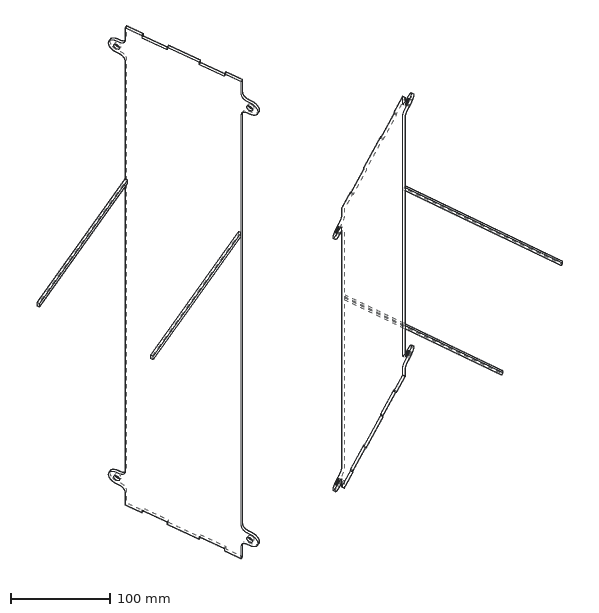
import cadquery as cq

panel_height = 813.0
panel_width = 135.0
panel_thickness = 3.0
overall_width = 174.0

ear_radius = 10.0
ear_hole_diameter = 7.0
ear_end_distance = 39.0
ear_fillet = 7.0
ear_x = overall_width / 2 - ear_radius
ear_z = panel_height / 2 - ear_end_distance

notch_depth = 4.0
notch_inner_x = 19.0
notch_outer_x = 48.0
notch_width = notch_outer_x - notch_inner_x
notch_x = (notch_inner_x + notch_outer_x) / 2

rod_width = 3.0
rod_height = 6.0
rod_top_distance = 260.0
rod_length = 178.0
rod_x = (panel_width - rod_width) / 2
rod_z = panel_height / 2 - rod_top_distance


def upright_box(width, depth, height):
    """Box centred in X and Z that runs from Y = 0 toward +Y."""
    return cq.Workplane("XY").box(width, depth, height, centered=(True, False, True))


def make_ear(side, z):
    """Round-ended ear whose neck reaches into the panel."""
    neck = upright_box(ear_x, panel_thickness, 2 * ear_radius).translate((side * ear_x / 2, 0, z))
    round_end = (
        cq.Workplane("XZ", origin=(side * ear_x, 0, z))
        .circle(ear_radius)
        .extrude(-panel_thickness)
    )
    return neck.union(round_end)


def make_panel():
    panel = upright_box(panel_width, panel_thickness, panel_height)
    for side in (-1, 1):
        for end in (-1, 1):
            panel = panel.union(make_ear(side, end * ear_z))

    for side in (-1, 1):
        for end in (-1, 1):
            for neck_side in (-1, 1):
                corner_z = end * ear_z + neck_side * ear_radius
                corner = (side * panel_width / 2, panel_thickness / 2, corner_z)
                panel = panel.edges(cq.selectors.NearestToPointSelector(corner)).fillet(ear_fillet)

    hole_centres = [(side * ear_x, end * ear_z) for side in (-1, 1) for end in (-1, 1)]
    holes = (
        cq.Workplane("XZ")
        .pushPoints(hole_centres)
        .circle(ear_hole_diameter / 2)
        .extrude(-panel_thickness)
    )
    panel = panel.cut(holes)

    notch = upright_box(notch_width, panel_thickness, 2 * notch_depth)
    for side in (-1, 1):
        for end in (-1, 1):
            panel = panel.cut(notch.translate((side * notch_x, 0, end * panel_height / 2)))
    return panel


def make_rod(side):
    """Straight rod running from the panel's front face toward -Y."""
    rod = upright_box(rod_width, rod_length, rod_height)
    return rod.translate((side * rod_x, -rod_length, rod_z))


panel = make_panel()
rods = [make_rod(side) for side in (-1, 1)]

result = cq.Compound.makeCompound([panel.val(), *[rod.val() for rod in rods]])